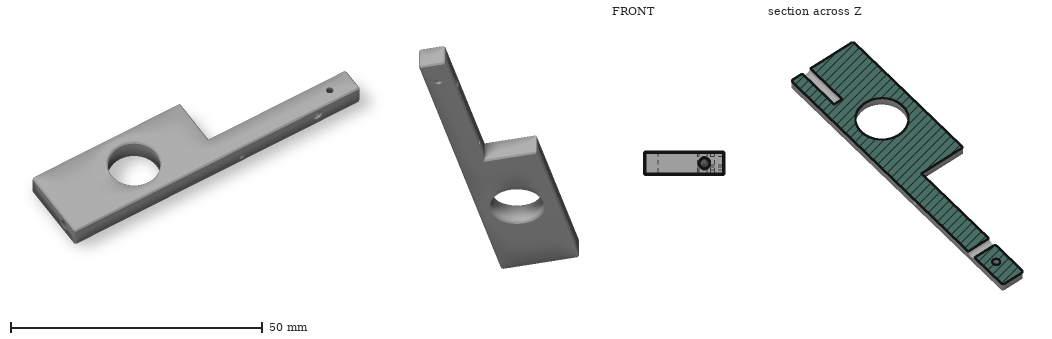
import cadquery as cq

length = 67.25
width = 16.0
thickness = 4.65
edge_chamfer = 0.3

arm_width = 5.4
body_length = 34.9
arm_left = width - arm_width
arm_center = width - arm_width / 2

bore_diameter = 10.5
bore_y = 19.0

tip_hole_diameter = 1.5
tip_hole_y = length - 5.45

cross_hole_diameter = 2.0
cross_hole_y = length - 10.0
cross_hole_z = 2.6
pin_hole_diameter = 1.0
pin_hole_y = length - 27.9
pin_hole_z = 1.5

end_hole_diameter = 2.0
end_hole_chamfer = 0.1
end_hole_depth = 10.1
end_hole_x = 12.05


def make_plate():
    """Stepped plate with a bore, chamfered except at the two vertical edges of the step."""
    outline = [
        (0, 0),
        (width, 0),
        (width, length),
        (arm_left, length),
        (arm_left, body_length),
        (0, body_length),
    ]
    plate = cq.Workplane("XY").polyline(outline).close().extrude(thickness)
    end_corners = plate.faces("<Y or >Y").edges("|Z")
    plate = end_corners.chamfer(edge_chamfer)
    bore = cq.Workplane("XY").center(width / 2, bore_y).circle(bore_diameter / 2).extrude(thickness)
    return plate.cut(bore).faces("<Z or >Z").edges().chamfer(edge_chamfer)


def cylinder(diameter, depth, start, direction):
    """Cutting cylinder that begins at start and runs along direction."""
    return cq.Solid.makeCylinder(diameter / 2, depth, cq.Vector(*start), cq.Vector(*direction))


def arm_cross_hole(diameter, y, z):
    """Cylinder through the full width of the arm."""
    return cylinder(diameter, arm_width, (arm_left, y, z), (1, 0, 0))


def end_hole():
    """Blind hole cutter along Y, widened by a cone at the end face."""
    start = (end_hole_x, 0, thickness / 2)
    radius = end_hole_diameter / 2
    mouth = cq.Solid.makeCone(
        radius + end_hole_chamfer, radius, end_hole_chamfer, cq.Vector(*start), cq.Vector(0, 1, 0)
    )
    return cylinder(end_hole_diameter, end_hole_depth, start, (0, 1, 0)).fuse(mouth)


result = (
    make_plate()
    .cut(cylinder(tip_hole_diameter, thickness, (arm_center, tip_hole_y, 0), (0, 0, 1)))
    .cut(arm_cross_hole(cross_hole_diameter, cross_hole_y, cross_hole_z))
    .cut(arm_cross_hole(pin_hole_diameter, pin_hole_y, pin_hole_z))
    .cut(end_hole())
)